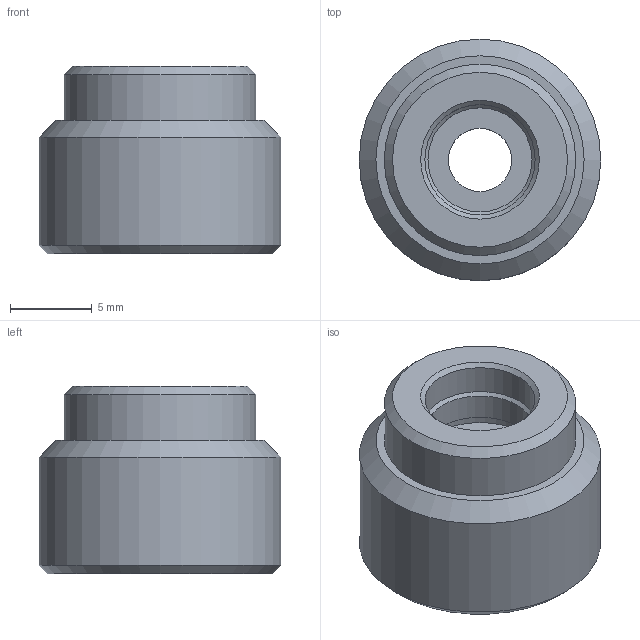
import cadquery as cq

body_diameter = 14.732
boss_diameter = 11.684
total_height = 11.43
shoulder_height = 8.128
edge_chamfer = 0.508
shoulder_chamfer = 1.016

through_hole_diameter = 3.861
bore_diameter = 6.35
counterbore_diameter = 6.731
mouth_chamfer = 0.254
counterbore_depth = 2.032
lip_depth = 3.81
relief_diameter = 7.366
floor_depth = 4.572

body_radius = body_diameter / 2
boss_radius = boss_diameter / 2
hole_radius = through_hole_diameter / 2
bore_radius = bore_diameter / 2
counterbore_radius = counterbore_diameter / 2
relief_radius = relief_diameter / 2

step_depth = counterbore_depth + counterbore_radius - bore_radius


def depth(distance):
    """Z level at the given distance below the top face."""
    return total_height - distance


outer_profile = [
    (body_radius - edge_chamfer, 0),
    (body_radius, edge_chamfer),
    (body_radius, shoulder_height - shoulder_chamfer),
    (body_radius - shoulder_chamfer, shoulder_height),
    (boss_radius, shoulder_height),
    (boss_radius, total_height - edge_chamfer),
    (boss_radius - edge_chamfer, total_height),
]
inner_profile = [
    (counterbore_radius + mouth_chamfer, total_height),
    (counterbore_radius, depth(mouth_chamfer)),
    (counterbore_radius, depth(counterbore_depth)),
    (bore_radius, depth(step_depth)),
    (bore_radius, depth(lip_depth)),
    (relief_radius, depth(lip_depth)),
    (relief_radius, depth(floor_depth)),
    (hole_radius, depth(floor_depth)),
    (hole_radius, 0),
]

result = (
    cq.Workplane("XZ")
    .polyline(outer_profile + inner_profile)
    .close()
    .revolve(360, (0, 0, 0), (0, 1, 0))
)